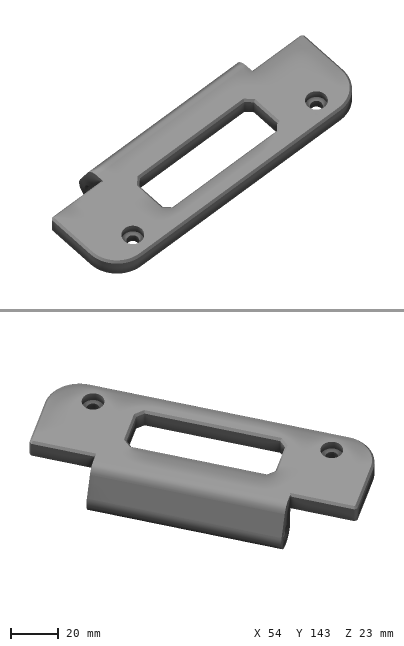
import cadquery as cq
import math

width = 54.0
length = 143.0
height = 23.0
plate_thickness = 8.0
edge_chamfer = 1.0
corner_radius = 15.0

barrel_radius = 7.0
barrel_length = 85.0
pin_diameter = 5.3
pin_chamfer = 0.9
shoulder_radius = 6.0
shoulder_x = 10.9
inner_fillet = 2.0

window_x = 33.9
window_width = 20.3
window_length = 64.9
window_corner = 2.9
screw_x = 44.0
screw_spacing = 104.1
screw_diameter = 5.5
counterbore_diameter = 9.6
counterbore_depth = 4.0

plate_left = 2 * barrel_radius
plate_bottom = height - plate_thickness
arm_end = plate_left + inner_fillet


def circle_point(center, radius, angle):
    """Point on a circle in the XZ plane, with the angle in radians from +X."""
    return (center[0] + radius * math.cos(angle), center[1] + radius * math.sin(angle))


def make_plate():
    """Flat plate with round right corners and chamfered outer edges."""
    plate_width = width - plate_left
    plate = cq.Workplane("XY").box(plate_width, length, plate_thickness, centered=(False, True, False))
    plate = plate.translate((plate_left, 0, plate_bottom))
    plate = plate.edges("|Z and >X").fillet(corner_radius)
    plate = plate.edges("|Z and <X").chamfer(edge_chamfer)
    return plate.faces(">Z").edges().chamfer(edge_chamfer)


def make_arm():
    """Barrel and arm, with a slanted face tangent to the barrel and the shoulder."""
    barrel = (barrel_radius, barrel_radius)
    shoulder = (shoulder_x, height - shoulder_radius)
    dx = shoulder[0] - barrel[0]
    dz = shoulder[1] - barrel[1]

    center_angle = math.atan2(dz, dx)
    radius_angle = math.acos((barrel_radius - shoulder_radius) / math.hypot(dx, dz))
    normal = center_angle + radius_angle
    barrel_tangent = circle_point(barrel, barrel_radius, normal)
    shoulder_tangent = circle_point(shoulder, shoulder_radius, normal)
    shoulder_middle = circle_point(shoulder, shoulder_radius, (normal + math.pi / 2) / 2)

    fillet_center = (arm_end, plate_bottom - inner_fillet)
    fillet_middle = circle_point(fillet_center, inner_fillet, math.radians(135))

    profile = (
        cq.Workplane("XZ", origin=(0, barrel_length / 2, 0))
        .moveTo(plate_left, barrel_radius)
        .threePointArc((barrel_radius, 0), barrel_tangent)
        .lineTo(*shoulder_tangent)
        .threePointArc(shoulder_middle, (shoulder_x, height))
        .lineTo(arm_end, height)
        .lineTo(arm_end, plate_bottom)
        .threePointArc(fillet_middle, (plate_left, plate_bottom - inner_fillet))
        .close()
    )
    return profile.extrude(barrel_length)


def cut_pin_hole(body):
    """Hole along the barrel, chamfered at both ends."""
    half_length = barrel_length / 2
    mouth_radius = pin_diameter / 2 + pin_chamfer
    core = (
        cq.Workplane("XY")
        .polyline([
            (0, -half_length),
            (mouth_radius, -half_length),
            (pin_diameter / 2, -half_length + pin_chamfer),
            (pin_diameter / 2, half_length - pin_chamfer),
            (mouth_radius, half_length),
            (0, half_length),
        ])
        .close()
        .revolve(360, (0, 0), (0, 1))
        .translate((barrel_radius, 0, barrel_radius))
    )
    return body.cut(core)


def cut_window(body):
    """Through window with cut corners and a chamfered top rim."""
    window = (
        cq.Workplane("XY")
        .box(window_width, window_length, plate_thickness, centered=(True, True, False))
        .translate((window_x, 0, plate_bottom))
        .edges("|Z")
        .chamfer(window_corner)
    )
    body = body.cut(window)
    half_width = window_width / 2 + edge_chamfer
    half_length = window_length / 2 + edge_chamfer
    rim_box = cq.selectors.BoxSelector(
        (window_x - half_width, -half_length, height - edge_chamfer),
        (window_x + half_width, half_length, height + edge_chamfer),
    )
    return body.faces(">Z").edges(rim_box).chamfer(edge_chamfer)


def cut_screw_holes(body):
    """Two counterbored holes sunk from the top face."""
    for side in (-1, 1):
        top = cq.Workplane("XY", origin=(screw_x, side * screw_spacing / 2, height))
        body = body.cut(top.circle(screw_diameter / 2).extrude(-plate_thickness))
        body = body.cut(top.circle(counterbore_diameter / 2).extrude(-counterbore_depth))
    return body


result = make_plate().union(make_arm())
result = cut_pin_hole(result)
result = cut_window(result)
result = cut_screw_holes(result)